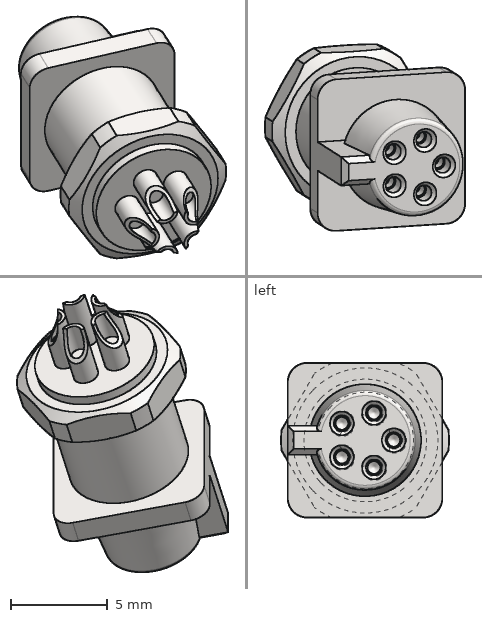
import cadquery as cq
import math

lip_fillet = 0.25
taper_end = 3.55
neck_start = 3.78
flange_front = 4.3
flange_back = 5.59
nut_front = 10.6
nut_back = 12.57
body_end = 13.1
overall_length = 16.1

face_radius = 2.32
lip_radius = face_radius + lip_fillet
taper_radius = 2.9
neck_radius = 2.5
body_diameter = 6.35

flange_side = 8.0
flange_corner_radius = 1.01

nut_across_flats = flange_side
nut_across_corners = 8.7
nut_face_radius = 3.75
nut_chamfer_length = 0.37

key_width = 1.51
key_chamfer = 0.3

contact_count = 5
contact_circle_radius = 1.48
first_contact_angle = 180.0

socket_mouth_diameter = 1.22
socket_hole_diameter = 0.82
socket_bore_diameter = 0.66
socket_mouth_depth = 0.21
socket_ledge_depth = 1.13
socket_bore_depth = 1.93
drill_point_angle = 118.0

pin_diameter = 1.3
cup_bore_diameter = 0.9
cup_length = 1.61
cup_floor = -0.24
cup_cut_radius = 2.5


def turned(profile):
    """Revolve a closed outline of (x, radius) points about the X axis."""
    return cq.Workplane("XY").polyline(profile).close().revolve(360, (0, 0, 0), (1, 0, 0))


def disc_along_x(start, end, diameter):
    """Cylinder on the X axis between two X positions."""
    return cq.Workplane("YZ").workplane(offset=start).circle(diameter / 2).extrude(end - start)


def make_nose():
    """Tapered front end with a rounded lip, and the neck behind it."""
    lip_offset = lip_fillet * math.sqrt(0.5)
    lip_middle = (lip_fillet - lip_offset, face_radius + lip_offset)
    return (
        cq.Workplane("XY")
        .moveTo(0, 0)
        .lineTo(0, face_radius)
        .threePointArc(lip_middle, (lip_fillet, lip_radius))
        .lineTo(taper_end, taper_radius)
        .lineTo(neck_start, neck_radius)
        .lineTo(flange_front, neck_radius)
        .lineTo(flange_front, 0)
        .close()
        .revolve(360, (0, 0, 0), (1, 0, 0))
    )


def make_flange():
    return (
        cq.Workplane("YZ")
        .workplane(offset=flange_front)
        .rect(flange_side, flange_side)
        .extrude(flange_back - flange_front)
        .edges("|X")
        .fillet(flange_corner_radius)
    )


def make_nut():
    """Hexagon with flats facing +Z and -Z, trimmed by a chamfered turned blank."""
    hexagon = (
        cq.Workplane("YZ")
        .workplane(offset=nut_front)
        .polygon(6, nut_across_flats / math.cos(math.pi / 6))
        .extrude(nut_back - nut_front)
    )
    corner_radius = nut_across_corners / 2
    blank = turned([
        (nut_front, 0),
        (nut_front, nut_face_radius),
        (nut_front + nut_chamfer_length, corner_radius),
        (nut_back - nut_chamfer_length, corner_radius),
        (nut_back, nut_face_radius),
        (nut_back, 0),
    ])
    return hexagon.intersect(blank)


def make_key():
    """Bar from the axis to the flange edge, chamfered around its front end."""
    key_height = flange_side / 2
    return (
        cq.Workplane("XY")
        .box(flange_front, key_height, key_width, centered=(False, False, True))
        .faces("<X")
        .edges("not <Y")
        .chamfer(key_chamfer)
    )


def make_pin():
    """Solder cup pin on the X axis, its scooped opening facing +Y."""
    pin_radius = pin_diameter / 2
    cup_start = overall_length - cup_length
    pin = disc_along_x(body_end, overall_length, pin_diameter)
    bore = disc_along_x(cup_start, overall_length, cup_bore_diameter)
    scoop = (
        cq.Workplane("XY")
        .moveTo(cup_start, pin_radius)
        .radiusArc((overall_length, cup_floor), -cup_cut_radius)
        .lineTo(overall_length, pin_radius)
        .close()
        .extrude(pin_radius, both=True)
    )
    return pin.cut(bore).cut(scoop)


def make_socket():
    """Stepped hole on the X axis: countersunk mouth, ledge, bore, drill point."""
    hole_radius = socket_hole_diameter / 2
    bore_radius = socket_bore_diameter / 2
    point_length = bore_radius / math.tan(math.radians(drill_point_angle / 2))
    return turned([
        (0, 0),
        (0, socket_mouth_diameter / 2),
        (socket_mouth_depth, hole_radius),
        (socket_ledge_depth, hole_radius),
        (socket_ledge_depth, bore_radius),
        (socket_bore_depth, bore_radius),
        (socket_bore_depth + point_length, 0),
    ])


def at_contact(shape, index):
    """Move a shape from the X axis to one contact place, +Y turned outward."""
    angle = first_contact_angle + index * 360.0 / contact_count
    return shape.translate((0, contact_circle_radius, 0)).rotate((0, 0, 0), (1, 0, 0), angle)


result = (
    make_nose()
    .union(make_key())
    .union(make_flange())
    .union(disc_along_x(flange_back, body_end, body_diameter))
    .union(make_nut())
)

pin_shape = make_pin()
socket_shape = make_socket()
for contact in range(contact_count):
    result = result.union(at_contact(pin_shape, contact))
    result = result.cut(at_contact(socket_shape, contact))